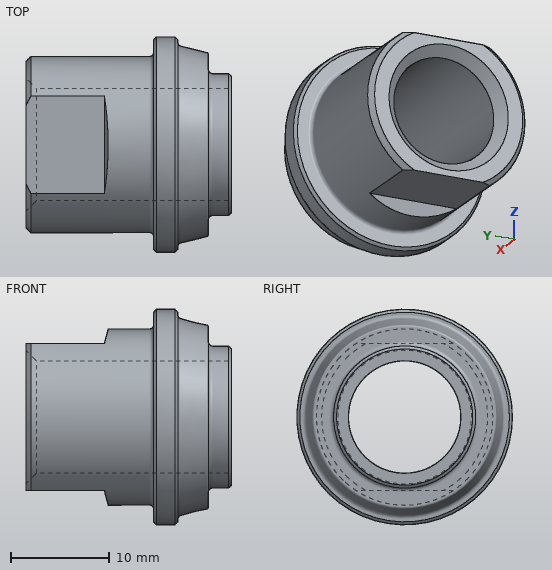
import cadquery as cq
import math

total_length = 21.0
flange_start = 13.02
flange_end = 15.5
cone_end = 18.63

body_radius = 18.0 / 2
flange_radius = 22 / 2
cone_tip_radius = 9.35
spigot_radius = 14.5 / 2
bore_radius = 11.45 / 2

cone_angle = math.radians(14)
cone_root_radius = cone_tip_radius + (cone_end - flange_end) * math.tan(cone_angle)

body_chamfer = 0.53
flange_chamfer = 0.3
spigot_chamfer = 0.3
countersink = 1.1
body_fillet = 0.4
cone_root_fillet = 0.4
cone_tip_fillet = 0.22
spigot_fillet = 0.45

half_across_flats = 7.5
flat_length = 8.0
flat_runout = 0.4


def circle_edge(solid, x, radius):
    """Select the circular edge at axial position x with the given radius."""
    tolerance = 0.002
    low = (x - tolerance, -radius - tolerance, -radius - tolerance)
    high = (x + tolerance, radius + tolerance, radius + tolerance)
    return solid.edges(cq.selectors.BoxSelector(low, high, boundingbox=True)).edges(
        cq.selectors.RadiusNthSelector(-1)
    )


def turned_body():
    """Revolve the stepped outer profile, then break and round its edges."""
    profile = (
        cq.Workplane("XY")
        .lineTo(0, body_radius)
        .lineTo(flange_start, body_radius)
        .lineTo(flange_start, flange_radius)
        .lineTo(flange_end, flange_radius)
        .lineTo(flange_end, cone_root_radius)
        .lineTo(cone_end, cone_tip_radius)
        .lineTo(cone_end, spigot_radius)
        .lineTo(total_length, spigot_radius)
        .lineTo(total_length, 0)
        .close()
    )
    body = profile.revolve(360, (0, 0, 0), (1, 0, 0))

    body = circle_edge(body, 0, body_radius).chamfer(body_chamfer)
    body = circle_edge(body, total_length, spigot_radius).chamfer(spigot_chamfer)
    for x in (flange_start, flange_end):
        body = circle_edge(body, x, flange_radius).chamfer(flange_chamfer)

    body = circle_edge(body, flange_start, body_radius).fillet(body_fillet)
    body = circle_edge(body, flange_end, cone_root_radius).fillet(cone_root_fillet)
    body = circle_edge(body, cone_end, cone_tip_radius).fillet(cone_tip_fillet)
    return circle_edge(body, cone_end, spigot_radius).fillet(spigot_fillet)


def bore():
    """Through hole with a 45 degree countersink at the wrench end."""
    return (
        cq.Workplane("XY")
        .lineTo(0, bore_radius + countersink)
        .lineTo(countersink, bore_radius)
        .lineTo(total_length, bore_radius)
        .lineTo(total_length, 0)
        .close()
        .revolve(360, (0, 0, 0), (1, 0, 0))
    )


def flat_cutter():
    """Material above the upper wrench flat, ending in a slanted wall."""
    return (
        cq.Workplane("XZ")
        .moveTo(0, half_across_flats)
        .lineTo(flat_length, half_across_flats)
        .lineTo(flat_length + flat_runout, body_radius)
        .lineTo(0, body_radius)
        .close()
        .extrude(body_radius, both=True)
    )


upper_flat = flat_cutter()
lower_flat = upper_flat.mirror("XY")
result = turned_body().cut(bore()).cut(upper_flat).cut(lower_flat)